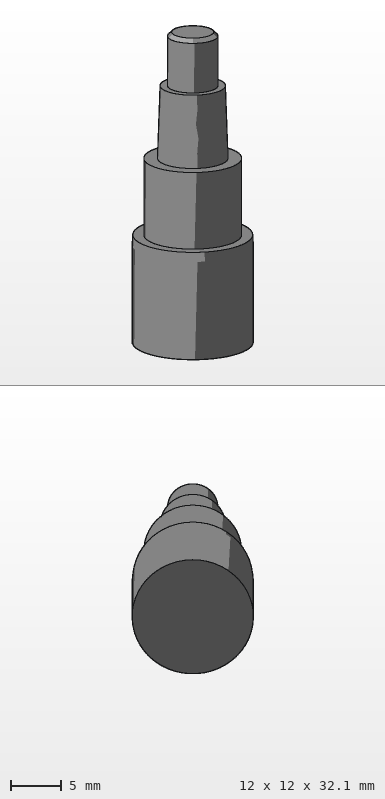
import cadquery as cq

TOTAL_HEIGHT = 32.1

BASE_RADIUS = 6.0
BASE_TOP_RADIUS = 5.95
BASE_HEIGHT = 11.1
LEAD_IN_HEIGHT = 1.0

SHOULDER_RADIUS = 4.85
SHOULDER_HEIGHT = 7.93
NECK_BOTTOM_RADIUS = 3.5
NECK_TOP_RADIUS = 3.25
NECK_HEIGHT = 7.5
TIP_RADIUS = 2.5
TIP_CHAMFER = 0.42

LEAD_IN_START = BASE_HEIGHT - LEAD_IN_HEIGHT
SHOULDER_TOP = BASE_HEIGHT + SHOULDER_HEIGHT
NECK_TOP = SHOULDER_TOP + NECK_HEIGHT


def turned_body(profile):
    """Revolve a closed (radius, height) profile about the Z axis."""
    return cq.Workplane("XZ").polyline(profile).close().revolve(360, (0, 0), (0, 1))


def make_base():
    """Solid base whose flat top carries the pin."""
    return turned_body([
        (0, 0),
        (BASE_RADIUS, 0),
        (BASE_RADIUS, LEAD_IN_START),
        (BASE_TOP_RADIUS, BASE_HEIGHT),
        (0, BASE_HEIGHT),
    ])


def make_stepped_pin():
    """Stepped pin that stands on the base."""
    return turned_body([
        (0, BASE_HEIGHT),
        (SHOULDER_RADIUS, BASE_HEIGHT),
        (SHOULDER_RADIUS, SHOULDER_TOP),
        (NECK_BOTTOM_RADIUS, SHOULDER_TOP),
        (NECK_TOP_RADIUS, NECK_TOP),
        (TIP_RADIUS, NECK_TOP),
        (TIP_RADIUS, TOTAL_HEIGHT - TIP_CHAMFER),
        (TIP_RADIUS - TIP_CHAMFER, TOTAL_HEIGHT),
        (0, TOTAL_HEIGHT),
    ])


base = make_base()
stepped_pin = make_stepped_pin()

result = cq.Compound.makeCompound([base.val(), stepped_pin.val()])